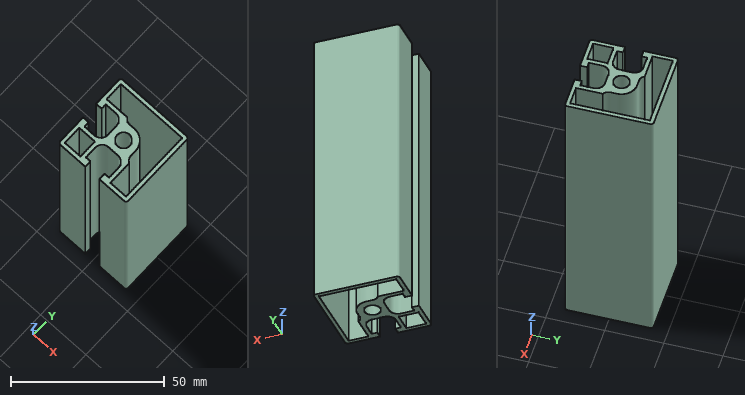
import cadquery as cq
import math

side = 30.0
length = 100.0
wall = 1.5
corner_radius = 1.0
half_side = side / 2

slot_opening = 6.2
slot_width = 10.2
slot_depth = 10.0
slot_floor_radius = 3.0
lip_thickness = 2.5

rib_thickness = 1.5
rib_outer = slot_width / 2 + rib_thickness
core_radius = 5.3
core_bore_diameter = 5.5
core_flat_end = 2.2
blend_radius = 2.5

inner = half_side - wall


def block():
    """Solid square bar with rounded long edges."""
    bar = cq.Workplane("XY").rect(side, side).extrude(length)
    return bar.edges("|Z").fillet(corner_radius)


def slot():
    """T-slot void open to -Y: wide chamber with rounded floor corners, and the narrow mouth."""
    chamber_height = slot_depth - lip_thickness
    chamber_centre = -half_side + lip_thickness + chamber_height / 2
    chamber = (
        cq.Workplane("XY")
        .center(0, chamber_centre)
        .rect(slot_width, chamber_height)
        .extrude(length)
        .edges("|Z and >Y")
        .fillet(slot_floor_radius)
    )
    mouth = (
        cq.Workplane("XY")
        .center(0, -half_side + lip_thickness / 2)
        .rect(slot_opening, lip_thickness)
        .extrude(length)
    )
    return chamber.union(mouth)


def corner_void():
    """Square hollow in the -X -Y corner, between the two slots."""
    return (
        cq.Workplane("XY")
        .moveTo(-inner, -inner)
        .lineTo(-rib_outer, -inner)
        .lineTo(-rib_outer, -rib_outer)
        .lineTo(-inner, -rib_outer)
        .close()
        .extrude(length)
    )


def main_void():
    """L-shaped hollow along the +X and +Y walls, wrapping around the core."""
    core_mid = core_radius * math.sqrt(0.5)
    blend_angle = math.acos(1 - (rib_outer - core_radius) / blend_radius)
    blend_mid_run = core_flat_end + blend_radius * math.sin(blend_angle / 2)
    blend_mid_rise = core_radius + blend_radius * (1 - math.cos(blend_angle / 2))
    rib_end = core_flat_end + blend_radius * math.sin(blend_angle)
    return (
        cq.Workplane("XY")
        .moveTo(-inner, inner)
        .lineTo(inner, inner)
        .lineTo(inner, -inner)
        .lineTo(rib_outer, -inner)
        .lineTo(rib_outer, -rib_end)
        .threePointArc(
            (blend_mid_rise, -blend_mid_run),
            (core_radius, -core_flat_end),
        )
        .lineTo(core_radius, 0)
        .threePointArc((core_mid, core_mid), (0, core_radius))
        .lineTo(-core_flat_end, core_radius)
        .threePointArc(
            (-blend_mid_run, blend_mid_rise),
            (-rib_end, rib_outer),
        )
        .lineTo(-inner, rib_outer)
        .close()
        .extrude(length)
    )


def core_bore():
    """Round hole through the core."""
    return cq.Workplane("XY").circle(core_bore_diameter / 2).extrude(length)


slot_toward_y = slot()
slot_toward_x = slot_toward_y.rotate((0, 0, 0), (0, 0, 1), -90)

result = block()
for void in (slot_toward_y, slot_toward_x, corner_void(), main_void(), core_bore()):
    result = result.cut(void)